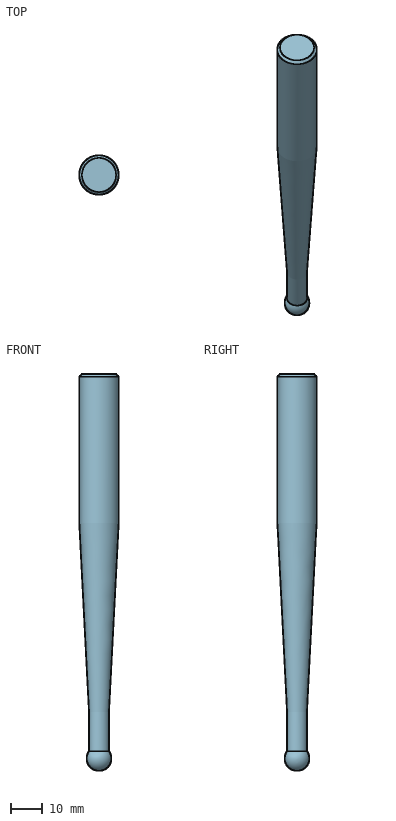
import cadquery as cq
import math

TOTAL_LENGTH = 127.0
SHANK_DIAMETER = 12.7
NECK_DIAMETER = 6.5
BALL_DIAMETER = 8.0
TAPER_BOTTOM_Z = 18.9
TAPER_TOP_Z = 79.4
CHAMFER = 0.9

shank_radius = SHANK_DIAMETER / 2
neck_radius = NECK_DIAMETER / 2
ball_radius = BALL_DIAMETER / 2
ball_top_z = ball_radius + math.sqrt(ball_radius**2 - neck_radius**2)


def make_holder():
    """Chamfered shank, taper and neck, turned about Z."""
    return (
        cq.Workplane("XZ")
        .moveTo(0, ball_top_z)
        .lineTo(neck_radius, ball_top_z)
        .lineTo(neck_radius, TAPER_BOTTOM_Z)
        .lineTo(shank_radius, TAPER_TOP_Z)
        .lineTo(shank_radius, TOTAL_LENGTH - CHAMFER)
        .lineTo(shank_radius - CHAMFER, TOTAL_LENGTH)
        .lineTo(0, TOTAL_LENGTH)
        .close()
        .revolve(360, (0, 0), (0, 1))
    )


def make_ball():
    """Sphere cut flat where it meets the end of the neck."""
    return (
        cq.Workplane("XZ")
        .moveTo(0, 0)
        .threePointArc((ball_radius, ball_radius), (neck_radius, ball_top_z))
        .lineTo(0, ball_top_z)
        .close()
        .revolve(360, (0, 0), (0, 1))
    )


holder = make_holder()
ball = make_ball()

result = cq.Compound.makeCompound([holder.val(), ball.val()])